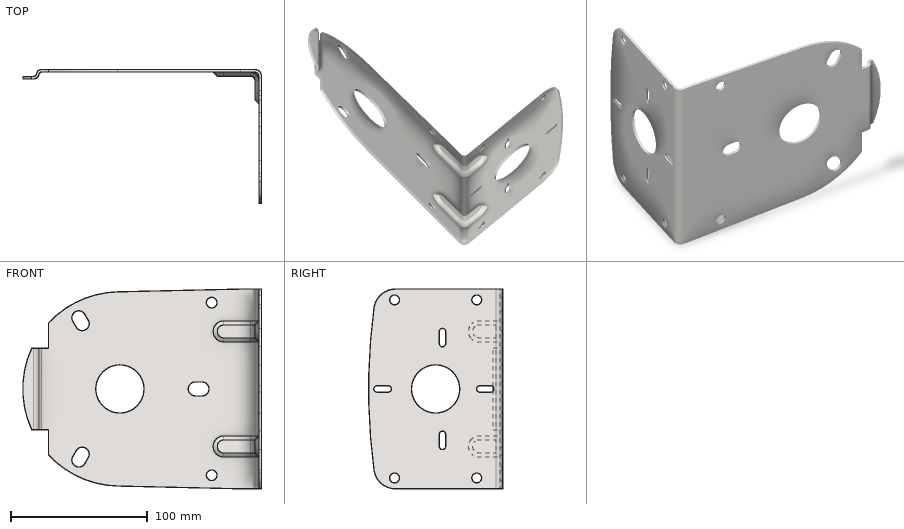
import cadquery as cq
import math


thickness = 2.0
inner_bend_radius = 3.0
outer_bend_radius = inner_bend_radius + thickness
plate_length = 174.5
wall_length = 98.0
height = 146.0
half_height = height / 2

tab_half_width = 29.85
tab_offset = 5.0
tab_bend_start = 8.0
tab_inner_radius = 2.0
tab_outer_radius = tab_inner_radius + thickness
tab_bend_angle = math.acos(1 - tab_offset / (tab_inner_radius + tab_outer_radius))

round_end_radius = 71.0
plate_bore_x = round_end_radius - plate_length
bore_diameter = 35.0
shoulder_x = -155.7
taper_start_x = -15.5
plate_slot_circle_radius = 57.5
plate_slot_angles = (0, 120, 240)
plate_slot_length = 15.0
plate_slot_width = 10.0
plate_hole_spacing = 67.0
plate_hole_x = plate_bore_x + plate_hole_spacing
plate_hole_z = 63.0
plate_hole_diameter = 7.6

wall_bore_y = -49.0
wall_corner_radius = 16.0
wall_bow_radius = 450.0
wall_hole_y_positions = (-19.0, -79.0)
wall_hole_z = 65.0
wall_hole_diameter = 7.0
wall_slot_reach = 37.5
wall_slot_width = 4.5
cross_slot_center_y = -50.2
cross_slot_length = 12.7
upright_slot_y = -44.0
upright_slot_length = 13.3

rib_z = 42.0
rib_height = 3.0
rib_half_base = 7.7
rib_half_top = rib_half_base - rib_height
rib_draft = 45
rib_bend_radius = 3.0
rib_root = 1.5
rib_plate_end = 27.7
rib_wall_end = 17.3
rib_bend_center = thickness + rib_height + rib_bend_radius


def polar(center, radius, angle):
    """Point at an angle on a circle."""
    return (center[0] + radius * math.cos(angle), center[1] + radius * math.sin(angle))


def bent_sheet():
    """Constant-thickness strip: offset tab, main plate, bend and side wall."""
    tab_x = tab_bend_start - plate_length
    lower_center = (tab_x, tab_inner_radius - tab_offset)
    jog_run = (tab_inner_radius + tab_outer_radius) * math.sin(tab_bend_angle)
    upper_center = (tab_x + jog_run, -tab_outer_radius)
    bend_center = (-outer_bend_radius, -outer_bend_radius)

    down = -math.pi / 2
    up = math.pi / 2
    half_turn = tab_bend_angle / 2

    def lower_arc(radius, share):
        return polar(lower_center, radius, down + share * half_turn)

    def upper_arc(radius, share):
        return polar(upper_center, radius, up + share * half_turn)

    profile = (
        cq.Workplane("XY")
        .moveTo(-plate_length, -tab_offset)
        .lineTo(*lower_arc(tab_inner_radius, 0))
        .threePointArc(lower_arc(tab_inner_radius, 1), lower_arc(tab_inner_radius, 2))
        .threePointArc(upper_arc(tab_outer_radius, 1), upper_arc(tab_outer_radius, 0))
        .lineTo(-outer_bend_radius, 0)
        .threePointArc(polar(bend_center, outer_bend_radius, math.pi / 4), (0, -outer_bend_radius))
        .lineTo(0, -wall_length)
        .lineTo(-thickness, -wall_length)
        .lineTo(-thickness, -outer_bend_radius)
        .threePointArc(polar(bend_center, inner_bend_radius, math.pi / 4), (-outer_bend_radius, -thickness))
        .lineTo(*upper_arc(tab_inner_radius, 0))
        .threePointArc(upper_arc(tab_inner_radius, 1), upper_arc(tab_inner_radius, 2))
        .threePointArc(lower_arc(tab_outer_radius, 1), lower_arc(tab_outer_radius, 0))
        .lineTo(-plate_length, -tab_offset - thickness)
        .close()
    )
    return profile.extrude(half_height, both=True)


def plate_outline():
    """Prism of the main plate outline, including the tab."""
    bore_center = (plate_bore_x, 0)
    corner_run = taper_start_x - plate_bore_x
    tangent_angle = math.atan2(half_height, corner_run) + math.acos(
        round_end_radius / math.hypot(corner_run, half_height)
    )
    shoulder_angle = math.acos((shoulder_x - plate_bore_x) / round_end_radius)
    tangent = polar(bore_center, round_end_radius, tangent_angle)
    middle = polar(bore_center, round_end_radius, (tangent_angle + shoulder_angle) / 2)
    shoulder = polar(bore_center, round_end_radius, shoulder_angle)
    tab_corner_run = math.sqrt(round_end_radius**2 - tab_half_width**2)
    tab_corner = (plate_bore_x - tab_corner_run, tab_half_width)

    return (
        cq.Workplane("XZ")
        .moveTo(0, half_height)
        .lineTo(taper_start_x, half_height)
        .lineTo(*tangent)
        .threePointArc(middle, shoulder)
        .lineTo(shoulder_x, tab_half_width)
        .lineTo(*tab_corner)
        .threePointArc((-plate_length, 0), (tab_corner[0], -tab_corner[1]))
        .lineTo(shoulder_x, -tab_half_width)
        .lineTo(shoulder[0], -shoulder[1])
        .threePointArc((middle[0], -middle[1]), (tangent[0], -tangent[1]))
        .lineTo(taper_start_x, -half_height)
        .lineTo(0, -half_height)
        .close()
        .extrude(wall_length)
    )


def wall_outline():
    """Prism of the side wall outline: bowed free edge blended into the end faces by round corners."""
    bow_center = (wall_bow_radius - wall_length, 0)
    corner_z = half_height - wall_corner_radius
    corner_reach = wall_bow_radius - wall_corner_radius
    corner_center = (bow_center[0] - math.sqrt(corner_reach**2 - corner_z**2), corner_z)
    blend_angle = math.pi - math.asin(corner_z / corner_reach)
    arc_start = (corner_center[0], half_height)
    arc_middle = polar(corner_center, wall_corner_radius, (math.pi / 2 + blend_angle) / 2)
    arc_end = polar(bow_center, wall_bow_radius, blend_angle)

    return (
        cq.Workplane("YZ")
        .moveTo(0, half_height)
        .lineTo(*arc_start)
        .threePointArc(arc_middle, arc_end)
        .threePointArc((-wall_length, 0), (arc_end[0], -arc_end[1]))
        .threePointArc((arc_middle[0], -arc_middle[1]), (arc_start[0], -arc_start[1]))
        .lineTo(0, -half_height)
        .close()
        .extrude(-plate_length)
    )


def plate_cutouts():
    """Bore, radial slots and round holes through the main plate."""
    plane = cq.Workplane("XZ")
    cutouts = plane.center(plate_bore_x, 0).circle(bore_diameter / 2).extrude(thickness)
    for angle in plate_slot_angles:
        x, z = polar((plate_bore_x, 0), plate_slot_circle_radius, math.radians(angle))
        slot = plane.center(x, z).slot2D(plate_slot_length, plate_slot_width, angle)
        cutouts = cutouts.union(slot.extrude(thickness))
    hole_points = [(plate_hole_x, plate_hole_z), (plate_hole_x, -plate_hole_z)]
    holes = plane.pushPoints(hole_points).circle(plate_hole_diameter / 2)
    return cutouts.union(holes.extrude(thickness))


def wall_cutouts():
    """Bore, four slots and four round holes through the side wall."""
    plane = cq.Workplane("YZ")
    cutouts = plane.center(wall_bore_y, 0).circle(bore_diameter / 2).extrude(-thickness)
    for side in (-1, 1):
        cross_y = cross_slot_center_y + side * wall_slot_reach
        cross = plane.center(cross_y, 0).slot2D(cross_slot_length, wall_slot_width).extrude(-thickness)
        upright = plane.center(upright_slot_y, side * wall_slot_reach)
        upright = upright.slot2D(upright_slot_length, wall_slot_width, 90).extrude(-thickness)
        hole_points = [(y, side * wall_hole_z) for y in wall_hole_y_positions]
        holes = plane.pushPoints(hole_points).circle(wall_hole_diameter / 2).extrude(-thickness)
        cutouts = cutouts.union(cross).union(upright).union(holes)
    return cutouts


def rib_section(plane):
    """Rib cross-section; local x is the distance from the outer sheet face, local y is Z."""
    root = thickness - rib_root
    crest = thickness + rib_height
    return plane.polyline(
        [
            (root, -rib_half_base),
            (thickness, -rib_half_base),
            (crest, -rib_half_top),
            (crest, rib_half_top),
            (thickness, rib_half_base),
            (root, rib_half_base),
        ]
    ).close()


def rib():
    """Rib with 45 degree sides that follows the bend and ends in a half cone on each leg."""
    section_on_plate = cq.Plane(
        origin=(-rib_bend_center, 0, 0), xDir=(0, -1, 0), normal=(-1, 0, 0)
    )
    section_on_wall = cq.Plane(
        origin=(0, -rib_bend_center, 0), xDir=(-1, 0, 0), normal=(0, -1, 0)
    )
    plate_arm = rib_section(cq.Workplane(section_on_plate)).extrude(rib_plate_end - rib_bend_center)
    wall_arm = rib_section(cq.Workplane(section_on_wall)).extrude(rib_wall_end - rib_bend_center)
    elbow = rib_section(cq.Workplane(section_on_wall)).revolve(
        90, (rib_bend_center, 1, 0), (rib_bend_center, 0, 0)
    )
    plate_tip = (
        cq.Workplane("XZ", origin=(-rib_plate_end, -thickness, 0))
        .circle(rib_half_base)
        .extrude(rib_height, taper=rib_draft)
    )
    wall_tip = (
        cq.Workplane("YZ", origin=(-thickness, -rib_wall_end, 0))
        .circle(rib_half_base)
        .extrude(-rib_height, taper=rib_draft)
    )
    return plate_arm.union(elbow).union(wall_arm).union(plate_tip).union(wall_tip)


bracket = bent_sheet().intersect(plate_outline()).intersect(wall_outline())
bracket = bracket.cut(plate_cutouts()).cut(wall_cutouts())
for rib_center in (-rib_z, rib_z):
    bracket = bracket.union(rib().translate((0, 0, rib_center)))

result = bracket